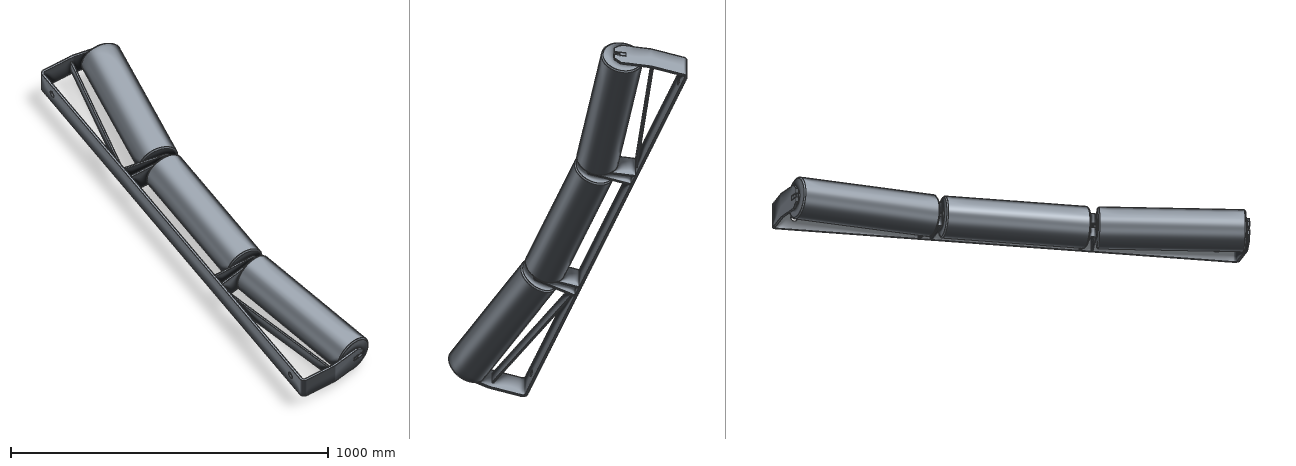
import cadquery as cq
import math

frame_length = 1510.0
overall_height = 275.0
frame_thickness = 8.0
strap_thickness = 6.0
plate_width = 77.0
frame_bend_radius = 15.0
frame_tip_height = 240.0
wall_bend_y = 124.0
tip_chamfer_along = 21.0
tip_chamfer_across = 17.0
mount_hole_diameter = 21.0
mount_hole_x = 684.0

roller_diameter = 133.0
roller_length = 467.0
roller_chamfer = 5.0
hub_diameter = 57.0
hub_gap = 2.0
support_reach = 239.0
shaft_height = 18.0
shaft_width = 14.0
slot_depth = 60.0

middle_roller_y = 125.0
wing_angle = 10.0

bracket_top = 155.0

brace_width = 40.0
brace_foot_x = 302.0
brace_head_y = 112.0

half_length = frame_length / 2
wing_cos = math.cos(math.radians(wing_angle))
wing_sin = math.sin(math.radians(wing_angle))
wing_tan = wing_sin / wing_cos
wing_distance = half_length * wing_cos + wall_bend_y * wing_sin - frame_thickness - support_reach
rim_reach = roller_length / 2 - roller_chamfer
wing_roller_y = overall_height - rim_reach * wing_sin - roller_diameter / 2 * wing_cos
wing_roller_x = (wing_distance - wing_roller_y * wing_sin) / wing_cos
bracket_radius = (
    (wing_distance - support_reach - support_reach * wing_cos - bracket_top * wing_sin)
    / (1 + wing_cos - wing_sin)
)


def extrude_plate(profile):
    """Give an XY profile the full plate width, centred on Z = 0."""
    return profile.extrude(plate_width).translate((0, 0, -plate_width / 2))


def make_x_cylinder(diameter, length):
    cylinder = cq.Workplane("YZ").circle(diameter / 2).extrude(length)
    return cylinder.translate((-length / 2, 0, 0))


def mirror_right(body):
    return body.mirror("YZ")


def place_on_left_wing(body):
    turned = body.rotate((0, 0, 0), (0, 0, 1), -wing_angle)
    return turned.translate((-wing_roller_x, wing_roller_y, 0))


def roller_positions(body):
    """Left, middle and right copies of something drawn about a roller's centre."""
    left = place_on_left_wing(body)
    middle = body.translate((0, middle_roller_y, 0))
    return [left, middle, mirror_right(left)]


def make_roller():
    """Shell, bearing hubs and flat shaft as one body along X, centred on the origin."""
    shell = make_x_cylinder(roller_diameter, roller_length).faces("<X or >X").chamfer(roller_chamfer)
    hub = make_x_cylinder(hub_diameter, 2 * (support_reach - hub_gap))
    shaft_length = 2 * (support_reach + strap_thickness)
    shaft = cq.Workplane("XY").box(shaft_length, shaft_height, shaft_width)
    return shell.union(hub).union(shaft)


def make_slot_cutter():
    """Slot that starts under the shaft, opens upward and spans both supports of a roller."""
    length = 2 * (support_reach + bracket_radius)
    slot = cq.Workplane("XY").box(length, slot_depth, shaft_width)
    return slot.translate((0, (slot_depth - shaft_height) / 2, 0))


def frame_half_corners(inset):
    """Corner points of one face of the left half strip, moved in by inset from the outer face."""
    wall_x = -half_length + inset
    bend_y = wall_bend_y - inset * math.tan(math.radians(wing_angle / 2))
    tip_y = frame_tip_height - inset * wing_sin
    tip_x = wall_x + (tip_y - bend_y) * wing_tan
    return [(0, inset), (wall_x, inset), (wall_x, bend_y), (tip_x, tip_y)]


def round_bends(strip, corners, radius):
    """Round the lower corner and the wall bend on one face of the strip."""
    _, lower_corner, wall_bend, _ = corners
    for x, y in (lower_corner, wall_bend):
        strip = strip.edges(cq.selectors.NearestToPointSelector((x, y, 0))).fillet(radius)
    return strip


def make_frame():
    outer_corners = frame_half_corners(0)
    inner_corners = frame_half_corners(frame_thickness)
    half = extrude_plate(cq.Workplane("XY").polyline(outer_corners + inner_corners[::-1]).close())
    half = round_bends(half, outer_corners, frame_bend_radius)
    half = round_bends(half, inner_corners, frame_bend_radius - frame_thickness)
    half = half.cut(make_tip_cutter())
    frame = half.union(mirror_right(half))
    holes = (
        cq.Workplane("XZ")
        .pushPoints([(-mount_hole_x, 0), (mount_hole_x, 0)])
        .circle(mount_hole_diameter / 2)
        .extrude(-frame_thickness)
    )
    return frame.cut(holes)


def make_tip_cutter():
    """Two triangular prisms that clip the corners of the left tilted end plate."""
    edge_z = plate_width / 2
    tip_x = -half_length + (frame_tip_height - wall_bend_y) * wing_tan
    tip_plane = cq.Plane(
        origin=(tip_x, frame_tip_height, 0),
        xDir=(0, 0, -1),
        normal=(wing_cos, -wing_sin, 0),
    )
    corner = (
        cq.Workplane(tip_plane)
        .moveTo(edge_z, 0)
        .lineTo(edge_z - tip_chamfer_across, 0)
        .lineTo(edge_z, -tip_chamfer_along)
        .close()
        .extrude(frame_thickness)
    )
    return corner.union(corner.mirror("XY"))


def make_bracket():
    """Left bracket: a folded strip with a vertical leg and a tilted leg, standing on the base."""
    bend_x = -support_reach - bracket_radius
    bend_y = bracket_top - bracket_radius

    def tilted_point(radius):
        return bend_x - radius * wing_cos, bend_y + radius * wing_sin

    def tilted_foot(radius):
        x, y = tilted_point(radius)
        return x - (y - frame_thickness) * wing_tan, frame_thickness

    outer = bracket_radius
    inner = bracket_radius - strap_thickness
    profile = (
        cq.Workplane("XY")
        .moveTo(bend_x + outer, frame_thickness)
        .lineTo(bend_x + outer, bend_y)
        .threePointArc((bend_x, bend_y + outer), tilted_point(outer))
        .lineTo(*tilted_foot(outer))
        .lineTo(*tilted_foot(inner))
        .lineTo(*tilted_point(inner))
        .threePointArc((bend_x, bend_y + inner), (bend_x + inner, bend_y))
        .lineTo(bend_x + inner, frame_thickness)
        .close()
    )
    return extrude_plate(profile)


def make_brace():
    """Left brace: a flat bar leaning from the base up to the end wall."""
    foot_x = -brace_foot_x
    head_x = -half_length + frame_thickness
    run = foot_x - head_x
    rise = brace_head_y - frame_thickness
    length = math.hypot(run, rise)
    slope = math.degrees(math.atan2(rise, run))
    bar = cq.Workplane("XY").box(length, strap_thickness, brace_width, centered=(False, False, True))
    bar = bar.translate((-length, 0, 0)).rotate((0, 0, 0), (0, 0, 1), -slope)
    return bar.translate((foot_x, frame_thickness, 0))


rollers = roller_positions(make_roller())
slots = roller_positions(make_slot_cutter())

frame = make_frame()
left_bracket = make_bracket()
brackets = [left_bracket, mirror_right(left_bracket)]
for slot in slots:
    frame = frame.cut(slot)
    brackets = [bracket.cut(slot) for bracket in brackets]

left_brace = make_brace()
braces = [left_brace, mirror_right(left_brace)]

bodies = [frame, *brackets, *braces, *rollers]
result = cq.Compound.makeCompound([body.solids().val() for body in bodies])